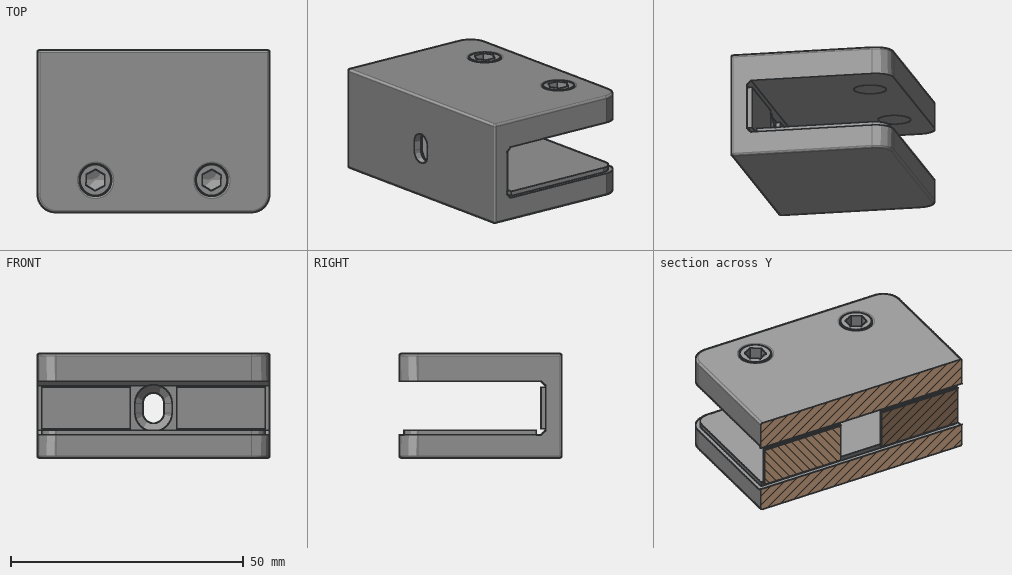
import cadquery as cq
import math

WIDTH = 50.0
DEPTH = 35.0
HEIGHT = 22.5
CORNER_RADIUS = 4.0
EDGE_RADIUS = 0.5

LOWER_ARM = 5.0
UPPER_ARM = 6.0
BACK_WALL = 3.5
MOUTH_CHAMFER = 1.0
MOUTH_DEPTH = DEPTH - BACK_WALL
MOUTH_HEIGHT = HEIGHT - LOWER_ARM - UPPER_ARM
MOUTH_MID_Z = LOWER_ARM + MOUTH_HEIGHT / 2
WALL_FACE_Y = MOUTH_DEPTH

SLOT_WIDTH = 4.5
SLOT_CENTRES = 2.0
SINK_WIDTH = 8.0
SINK_TAPER = 45.0
SINK_DEPTH = (SINK_WIDTH - SLOT_WIDTH) / 2 / math.tan(math.radians(SINK_TAPER))

PAD_THICKNESS = 1.0
PAD_INSET = 1.0
FLOOR_PAD_BACK_GAP = 2.0
WALL_PAD_WIDTH = 19.0
WALL_PAD_HEIGHT = 9.0

SCREW_DIAMETER = 7.0
SCREW_CHAMFER = 0.175
HOLE_RIM_RADIUS = 0.4
SCREW_SPACING = 25.0
SCREW_Y = 7.0
SCREW_XS = (-SCREW_SPACING / 2, SCREW_SPACING / 2)
SOCKET_FLATS = 4.0
SOCKET_CORNERS = SOCKET_FLATS / math.cos(math.radians(30))
SOCKET_DEPTH = 3.0
SOCKET_TIP_ANGLE = 120.0
SOCKET_TURN = -2.0


def plate(width, depth, height, radius):
    """Plate with its front edge on Y = 0, its base on Z = 0 and two rounded front corners."""
    return (
        cq.Workplane("XY")
        .box(width, depth, height, centered=(True, False, False))
        .edges("|Z and <Y")
        .fillet(radius)
    )


def mouth():
    """Space between the arms, with its two inner corners chamfered."""
    return (
        cq.Workplane("XY")
        .box(WIDTH, MOUTH_DEPTH, MOUTH_HEIGHT, centered=(True, False, False))
        .edges("|X and >Y")
        .chamfer(MOUTH_CHAMFER)
        .translate((0, 0, LOWER_ARM))
    )


def slot_prism(width, start_y, length, taper=0.0):
    """Upright slot shape running from start_y towards +Y."""
    plane = cq.Plane(origin=(0, start_y, MOUTH_MID_Z), xDir=(1, 0, 0), normal=(0, 1, 0))
    return (
        cq.Workplane(plane)
        .slot2D(SLOT_CENTRES + width, width, 90)
        .extrude(length, taper=taper)
    )


def mounting_slot():
    """Through slot, its tapered countersink, and the clearance the sink cuts in the mouth chamfers."""
    through = slot_prism(SLOT_WIDTH, WALL_FACE_Y, BACK_WALL)
    sink = slot_prism(SINK_WIDTH, WALL_FACE_Y, SINK_DEPTH, taper=SINK_TAPER)
    clearance = slot_prism(SINK_WIDTH, WALL_FACE_Y - MOUTH_CHAMFER, MOUTH_CHAMFER)
    return through.union(sink).union(clearance)


def screw_holes():
    """Holes through the upper arm, each flaring out to a rounded rim at the top face."""
    radius = SCREW_DIAMETER / 2
    rim_start = UPPER_ARM - HOLE_RIM_RADIUS
    rim_bulge = HOLE_RIM_RADIUS * (1 - math.cos(math.radians(45)))
    hole = (
        cq.Workplane("XZ")
        .lineTo(radius, 0)
        .lineTo(radius, rim_start)
        .threePointArc(
            (radius + rim_bulge, UPPER_ARM - rim_bulge),
            (radius + HOLE_RIM_RADIUS, UPPER_ARM),
        )
        .lineTo(0, UPPER_ARM)
        .close()
        .revolve(360, (0, 0), (0, 1))
    )
    first, second = [hole.translate((x, SCREW_Y, HEIGHT - UPPER_ARM)) for x in SCREW_XS]
    return first.union(second)


def make_housing():
    """C-shaped block with rounded outer edges, the mounting slot and the two screw holes."""
    block = plate(WIDTH, DEPTH, HEIGHT, CORNER_RADIUS)
    block = block.faces("<Z or >Z or >Y").edges().fillet(EDGE_RADIUS)
    return block.cut(mouth()).cut(mounting_slot()).cut(screw_holes())


def make_floor_pad():
    """Pad on the lower arm, with front corners concentric with those of the arm."""
    pad_depth = MOUTH_DEPTH - FLOOR_PAD_BACK_GAP - PAD_INSET
    pad = plate(WIDTH - 2 * PAD_INSET, pad_depth, PAD_THICKNESS, CORNER_RADIUS - PAD_INSET)
    return pad.translate((0, PAD_INSET, LOWER_ARM))


def make_wall_pad(side):
    """Pad on the back wall; side is -1 for the -X end and 1 for the +X end."""
    middle_x = WIDTH / 2 - PAD_INSET - WALL_PAD_WIDTH / 2
    middle_y = WALL_FACE_Y - PAD_THICKNESS / 2
    return (
        cq.Workplane("XY")
        .box(WALL_PAD_WIDTH, PAD_THICKNESS, WALL_PAD_HEIGHT)
        .translate((side * middle_x, middle_y, MOUTH_MID_Z))
    )


def hex_socket():
    """Hexagonal recess below Z = 0 ending in a drill point."""
    corner_radius = SOCKET_CORNERS / 2
    tip_depth = corner_radius / math.tan(math.radians(SOCKET_TIP_ANGLE / 2))
    drilled = (
        cq.Workplane("XZ")
        .polyline(
            [
                (0, 0),
                (corner_radius, 0),
                (corner_radius, -SOCKET_DEPTH),
                (0, -SOCKET_DEPTH - tip_depth),
            ]
        )
        .close()
        .revolve(360, (0, 0), (0, 1))
    )
    hexagon = (
        cq.Workplane("XY")
        .transformed(rotate=(0, 0, 90 + SOCKET_TURN))
        .polygon(6, SOCKET_CORNERS)
        .extrude(-SOCKET_DEPTH - tip_depth)
    )
    return hexagon.intersect(drilled)


def make_set_screw(x):
    """Plain cylindrical set screw with a chamfered top edge and a hexagonal socket."""
    body = (
        cq.Workplane("XY")
        .circle(SCREW_DIAMETER / 2)
        .extrude(-UPPER_ARM)
        .faces(">Z")
        .chamfer(SCREW_CHAMFER)
    )
    return body.cut(hex_socket()).translate((x, SCREW_Y, HEIGHT))


housing = make_housing()
floor_pad = make_floor_pad()
wall_pads = [make_wall_pad(side) for side in (-1, 1)]
set_screws = [make_set_screw(x) for x in SCREW_XS]

result = cq.Compound.makeCompound(
    [
        housing.val(),
        floor_pad.val(),
        *[pad.val() for pad in wall_pads],
        *[screw.val() for screw in set_screws],
    ]
)